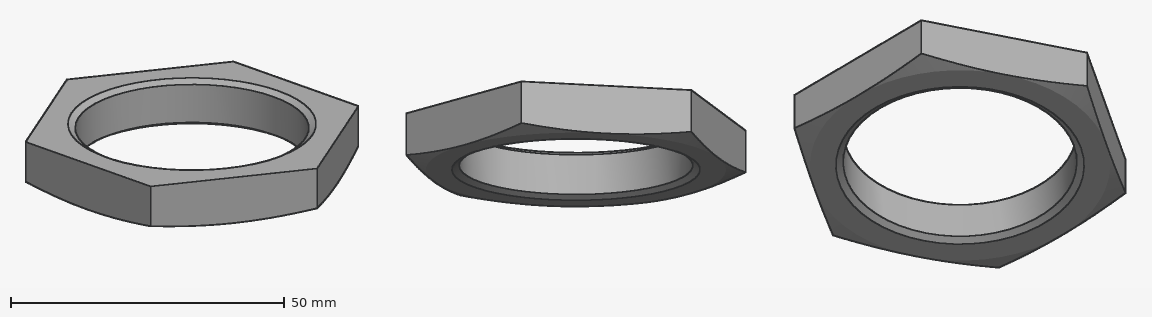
import cadquery as cq
import math

across_corners = 63.5
across_flats = across_corners * math.cos(math.radians(30))
height = 9.0

bore_diameter = 42.8
rim_chamfer_width = 1.35
rim_chamfer_angle = 30.0
rim_chamfer_depth = rim_chamfer_width * math.tan(math.radians(rim_chamfer_angle))

relief_angle = 15.0
relief_start_radius = across_flats / 2
corner_radius = across_corners / 2
relief_height = (corner_radius - relief_start_radius) * math.tan(math.radians(relief_angle))


def hexagonal_blank():
    return (
        cq.Workplane("XY")
        .transformed(rotate=(0, 0, 90))
        .polygon(6, across_corners)
        .extrude(height)
    )


def corner_envelope():
    """Solid of revolution that is conical at the bottom and cylindrical above."""
    return (
        cq.Workplane("XZ")
        .moveTo(0, 0)
        .lineTo(relief_start_radius, 0)
        .lineTo(corner_radius, relief_height)
        .lineTo(corner_radius, height)
        .lineTo(0, height)
        .close()
        .revolve(360, (0, 0), (0, 1))
    )


def bore():
    """Through hole that widens at both rims."""
    bore_radius = bore_diameter / 2
    rim_radius = bore_radius + rim_chamfer_width
    return (
        cq.Workplane("XZ")
        .moveTo(0, 0)
        .lineTo(rim_radius, 0)
        .lineTo(bore_radius, rim_chamfer_depth)
        .lineTo(bore_radius, height - rim_chamfer_depth)
        .lineTo(rim_radius, height)
        .lineTo(0, height)
        .close()
        .revolve(360, (0, 0), (0, 1))
    )


result = hexagonal_blank().intersect(corner_envelope()).cut(bore())